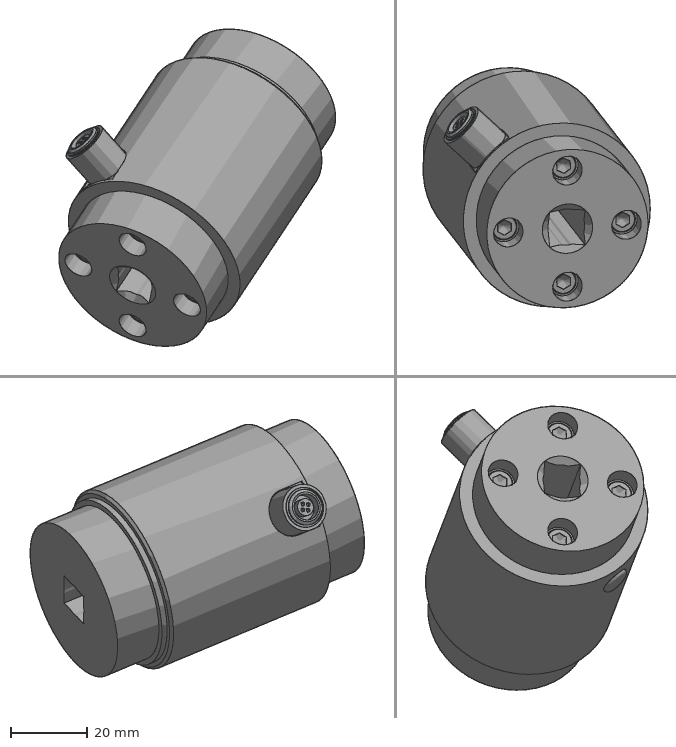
import cadquery as cq
import math

TOTAL_LENGTH = 76.2
HUB_DIAMETER = 43.2
HUB_LENGTH = 12.7
SLEEVE_DIAMETER = 50.15
SLEEVE_REAR_Y = 61.9
SLEEVE_CHAMFER = 0.8
COLLAR_DIAMETER = 46.25
COLLAR_REAR_Y = TOTAL_LENGTH - HUB_LENGTH
FLANGE_THICKNESS = 1.0
FLANGE_REAR_Y = HUB_LENGTH + FLANGE_THICKNESS

SQUARE_SIDE = 9.5
BORE_DIAMETER = 9.9
LEAD_IN_DIAMETER = SQUARE_SIDE * math.sqrt(2)
LEAD_IN_ANGLE = 100.0

SCREW_COUNT = 4
SCREW_RING_RADIUS = 15.85
COUNTERBORE_DIAMETER = 7.85
COUNTERBORE_DEPTH = 4.9
HEAD_DIAMETER = 6.85
HEAD_TOP_DIAMETER = 6.3
HEAD_TOP_Y = 4.6
HEAD_CHAMFER = (HEAD_DIAMETER - HEAD_TOP_DIAMETER) / 2
HEX_DIAMETER = 4.2
HEX_DEPTH = 1.5
HEX_POINT_ANGLE = 118.0
HEX_TURNS = (0, -4, 0, 0)

CONNECTOR_Y = 20.05
CONNECTOR_DIAMETER = 12.3
CONNECTOR_FLATS = 12.05
CONNECTOR_FACE = 34.0
SEAT_DIAMETER = 12.65
SEAT_FLOOR_RADIUS = 24.4
WASHER_DIAMETER = 10.5
WASHER_THICKNESS = 0.3
SHELL_DIAMETER = 9.45
SHELL_SHOULDER = 34.75
SHELL_TOP = 35.2
SHELL_TOP_DIAMETER = 7.85
SOCKET_DIAMETER = 6.85
SOCKET_DEPTH = 3.05
INSERT_DIAMETER = 4.5
INSERT_RECESS = 0.5
PIN_COUNT = 4
PIN_DIAMETER = 1.0
PIN_DEPTH = 1.15
PIN_RING_RADIUS = 1.1
PIN_START_ANGLE = 19.0
PLUG_DIAMETER = 7.85
PLUG_TOP = 26.0
PLUG_ROUNDING = 1.15

BURIED = 19.05


def y_cylinder(diameter, y_start, y_end):
    """Cylinder on the Y axis between two Y positions."""
    plane = cq.Plane(origin=(0, y_start, 0), xDir=(1, 0, 0), normal=(0, 1, 0))
    return cq.Workplane(plane).circle(diameter / 2).extrude(y_end - y_start)


def cone_depth(diameter, full_angle):
    """Depth of a cone that closes to a point."""
    return diameter / 2 / math.tan(math.radians(full_angle / 2))


def radial_plane(direction, distance):
    """Plane facing away from the Y axis at 45 degrees: 1 is up and to -X, -1 is down and to +X."""
    sideways = (direction, 0, direction)
    outward = (-direction, 0, direction)
    offset = direction * distance / math.sqrt(2)
    origin = (-offset, CONNECTOR_Y, offset)
    return cq.Plane(origin=origin, xDir=sideways, normal=outward)


def make_body():
    hubs = y_cylinder(HUB_DIAMETER, 0, TOTAL_LENGTH)
    sleeve = y_cylinder(SLEEVE_DIAMETER, HUB_LENGTH, SLEEVE_REAR_Y)
    sleeve = sleeve.faces(">Y").chamfer(SLEEVE_CHAMFER)
    collar = y_cylinder(COLLAR_DIAMETER, HUB_LENGTH, COLLAR_REAR_Y)
    return hubs.union(sleeve).union(collar)


def make_drive_opening():
    bore = y_cylinder(BORE_DIAMETER, 0, TOTAL_LENGTH)
    square = cq.Workplane("XY").box(SQUARE_SIDE, TOTAL_LENGTH, SQUARE_SIDE, centered=(True, False, True))
    depth = cone_depth(LEAD_IN_DIAMETER, LEAD_IN_ANGLE)
    lead_in = cq.Solid.makeCone(LEAD_IN_DIAMETER / 2, 0, depth, pnt=cq.Vector(0, 0, 0), dir=cq.Vector(0, 1, 0))
    return bore.union(square).union(cq.Workplane(lead_in))


def make_hex_recess(turn):
    """Hexagon recess on the Y axis that narrows to a point; turn is in degrees about Y."""
    plane = cq.Plane(origin=(0, HEAD_TOP_Y, 0), xDir=(0, 0, 1), normal=(0, 1, 0))
    hexagon = cq.Workplane(plane).polygon(6, HEX_DIAMETER).extrude(HEX_DEPTH)
    point = cq.Solid.makeCone(
        HEX_DIAMETER / 2,
        0,
        cone_depth(HEX_DIAMETER, HEX_POINT_ANGLE),
        pnt=cq.Vector(0, HEAD_TOP_Y, 0),
        dir=cq.Vector(0, 1, 0),
    )
    return hexagon.intersect(cq.Workplane(point)).rotate((0, 0, 0), (0, 1, 0), turn)


def add_screws(part):
    counterbore = y_cylinder(COUNTERBORE_DIAMETER, 0, COUNTERBORE_DEPTH)
    head = y_cylinder(HEAD_DIAMETER, HEAD_TOP_Y, COUNTERBORE_DEPTH).faces("<Y").chamfer(HEAD_CHAMFER)
    for index in range(SCREW_COUNT):
        angle = math.radians(index * 360 / SCREW_COUNT)
        place = (SCREW_RING_RADIUS * math.cos(angle), 0, SCREW_RING_RADIUS * math.sin(angle))
        part = part.cut(counterbore.translate(place)).union(head.translate(place))
        part = part.cut(make_hex_recess(HEX_TURNS[index]).translate(place))
    return part


def make_connector_seat():
    """Slot around the connector, round at the rear and open to the flange, with a round floor."""
    half_width = SEAT_DIAMETER / 2
    to_flange = FLANGE_REAR_Y - CONNECTOR_Y
    slot = (
        cq.Workplane(radial_plane(1, BURIED))
        .moveTo(-half_width, to_flange)
        .lineTo(half_width, to_flange)
        .lineTo(half_width, 0)
        .threePointArc((0, half_width), (-half_width, 0))
        .close()
        .extrude(SLEEVE_DIAMETER / 2 - BURIED)
    )
    return slot.cut(y_cylinder(2 * SEAT_FLOOR_RADIUS, 0, TOTAL_LENGTH))


def make_connector():
    base = radial_plane(1, BURIED)
    flats = cq.Workplane(base).rect(CONNECTOR_DIAMETER, CONNECTOR_FLATS).extrude(CONNECTOR_FACE - BURIED)
    barrel = cq.Workplane(base).circle(CONNECTOR_DIAMETER / 2).extrude(CONNECTOR_FACE - BURIED).intersect(flats)

    washer = (
        cq.Workplane(radial_plane(1, CONNECTOR_FACE))
        .circle(WASHER_DIAMETER / 2)
        .extrude(WASHER_THICKNESS)
    )
    shell_slope = (SHELL_DIAMETER - SHELL_TOP_DIAMETER) / 2
    shell = (
        cq.Workplane(radial_plane(1, CONNECTOR_FACE))
        .circle(SHELL_DIAMETER / 2)
        .extrude(SHELL_TOP - CONNECTOR_FACE)
        .faces(cq.selectors.DirectionMinMaxSelector(cq.Vector(-1, 0, 1)))
        .chamfer(SHELL_TOP - SHELL_SHOULDER, shell_slope)
    )
    socket = (
        cq.Workplane(radial_plane(1, SHELL_TOP - SOCKET_DEPTH))
        .circle(SOCKET_DIAMETER / 2)
        .extrude(SOCKET_DEPTH)
    )
    insert_top = SHELL_TOP - INSERT_RECESS
    insert = (
        cq.Workplane(radial_plane(1, SHELL_TOP - SOCKET_DEPTH))
        .circle(INSERT_DIAMETER / 2)
        .extrude(SOCKET_DEPTH - INSERT_RECESS)
    )
    pins = (
        cq.Workplane(radial_plane(1, insert_top))
        .polarArray(PIN_RING_RADIUS, PIN_START_ANGLE, 360, PIN_COUNT)
        .circle(PIN_DIAMETER / 2)
        .extrude(-PIN_DEPTH)
    )
    return barrel.union(washer).union(shell).cut(socket).union(insert.cut(pins))


def make_plug():
    """Low rounded plug on the side opposite the connector."""
    return (
        cq.Workplane(radial_plane(-1, BURIED))
        .circle(PLUG_DIAMETER / 2)
        .extrude(PLUG_TOP - BURIED)
        .faces(cq.selectors.DirectionMinMaxSelector(cq.Vector(1, 0, -1)))
        .fillet(PLUG_ROUNDING)
    )


result = add_screws(make_body().cut(make_drive_opening()))
result = result.cut(make_connector_seat()).union(make_connector()).union(make_plug())